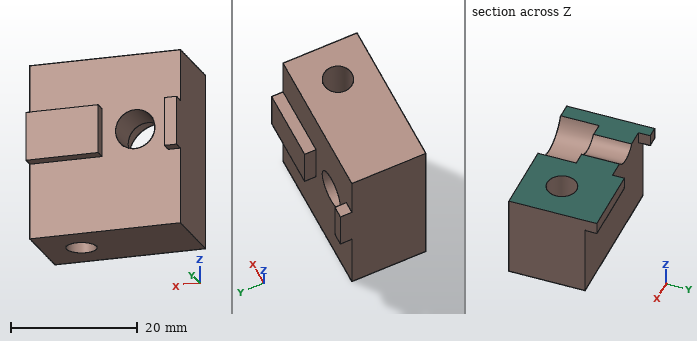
import cadquery as cq

width = 25.0
height = 29.0
total_depth = 15.0
rail_depth = 2.0
body_depth = total_depth - rail_depth

bore_x = 7.5
bore_z = 16.5
bore_diameter = 6.5
counterbore_diameter = 10.5
counterbore_depth = 6.5

rail_height = 8.0
rail_gap = 11.0

vertical_hole_x = 18.5
vertical_hole_y = body_depth / 2
vertical_hole_diameter = 4.93


def make_body():
    return cq.Workplane("XY").box(width, body_depth, height, centered=False)


def make_rail():
    rail = (
        cq.Workplane("XY")
        .box(width, rail_depth, rail_height, centered=False)
        .translate((0, body_depth, bore_z - rail_height / 2))
    )
    gap = (
        cq.Workplane("XY")
        .box(rail_gap, rail_depth, rail_height)
        .translate((bore_x, body_depth + rail_depth / 2, bore_z))
    )
    return rail.cut(gap)


def front_cylinder(diameter, depth):
    """Cylinder on the bore axis, running back from the front face."""
    return (
        cq.Workplane("XZ", origin=(bore_x, 0, bore_z))
        .circle(diameter / 2)
        .extrude(-depth)
    )


def make_vertical_hole():
    return (
        cq.Workplane("XY", origin=(vertical_hole_x, vertical_hole_y, 0))
        .circle(vertical_hole_diameter / 2)
        .extrude(height)
    )


result = (
    make_body()
    .union(make_rail())
    .cut(front_cylinder(bore_diameter, body_depth))
    .cut(front_cylinder(counterbore_diameter, counterbore_depth))
    .cut(make_vertical_hole())
)